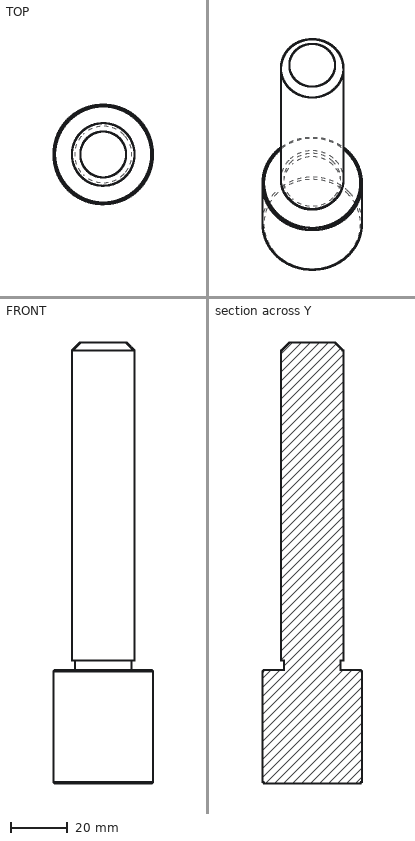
import cadquery as cq

total_height = 155.0
head_diameter = 35.0
head_height = 40.0
head_chamfer = 0.6
neck_diameter = 20.0
neck_height = 3.3
shank_diameter = 22.0
shank_chamfer = 3.0

shank_base = head_height + neck_height


def cylinder(diameter, bottom, top):
    """Solid cylinder on the Z axis between two heights."""
    return cq.Workplane("XY").workplane(offset=bottom).circle(diameter / 2).extrude(top - bottom)


head = cylinder(head_diameter, 0, head_height).edges().chamfer(head_chamfer)

neck = cylinder(neck_diameter, head_height, shank_base)

shank = cylinder(shank_diameter, shank_base, total_height).faces(">Z").chamfer(shank_chamfer)

result = head.union(neck).union(shank)